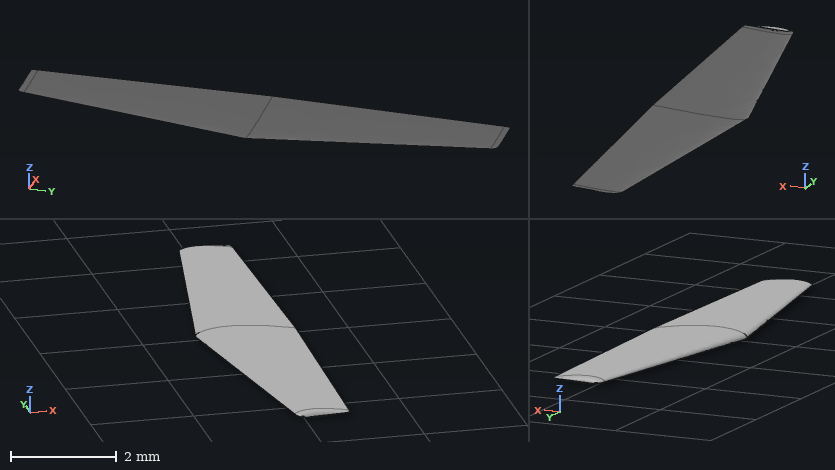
import cadquery as cq
import math

span = 9.44
root_chord = 1.95
tip_setback = 0.81
tip_trailing_inset = 0.09

cap_length = 0.13
cap_nose_trim = 0.13
cap_tail_trim = 0.04
cap_steps = 4
cap_edge_thickness = 0.15

max_camber = 0.02
camber_position = 0.4
thickness_ratio = 0.12
points_per_side = 14

half_span = span / 2
tip_y = half_span - cap_length
tip_chord = root_chord - tip_setback - tip_trailing_inset


def camber_and_slope(x):
    """Mean line height and slope at chord share x."""
    reach = camber_position if x < camber_position else 1 - camber_position
    curve = max_camber / reach**2
    height = max_camber - curve * (x - camber_position) ** 2
    return height, 2 * curve * (camber_position - x)


def surface_point(x, side):
    """Airfoil point at chord share x; side is +1 for upper, -1 for lower."""
    half_thickness = 5 * thickness_ratio * (
        0.2969 * math.sqrt(x) - 0.1260 * x - 0.3516 * x**2 + 0.2843 * x**3 - 0.1015 * x**4
    )
    height, slope = camber_and_slope(x)
    angle = math.atan(slope)
    return (
        x - side * half_thickness * math.sin(angle),
        height + side * half_thickness * math.cos(angle),
    )


def section(y, nose_x, chord, height_chord, thickness_share=1.0):
    """Closed airfoil wire; reduced thickness lowers the top toward the bottom."""
    upper = []
    lower = []
    for i in range(points_per_side + 1):
        x = (1 - math.cos(math.pi * i / points_per_side)) / 2
        top_x, top_z = surface_point(x, 1)
        bottom_x, bottom_z = surface_point(x, -1)
        top_z = bottom_z + (top_z - bottom_z) * thickness_share
        upper.append(cq.Vector(nose_x + chord * top_x, y, height_chord * top_z))
        lower.append(cq.Vector(nose_x + chord * bottom_x, y, height_chord * bottom_z))
    return cq.Wire.assembleEdges([
        cq.Edge.makeSpline(upper[::-1] + lower[1:]),
        cq.Edge.makeLine(lower[-1], upper[-1]),
    ])


def cap_section(step):
    """Tip cap section: a quarter ellipse in both plan outline and thickness."""
    angle = math.pi / 2 * step / cap_steps
    shrink = 1 - math.cos(angle)
    nose_trim = cap_nose_trim * shrink
    tail_trim = cap_tail_trim * shrink
    return section(
        tip_y + cap_length * math.sin(angle),
        tip_setback + nose_trim,
        tip_chord - nose_trim - tail_trim,
        tip_chord,
        1 - (1 - cap_edge_thickness) * shrink,
    )


root_section = section(0, 0, root_chord, root_chord)
cap_sections = [cap_section(step) for step in range(cap_steps + 1)]
panel = cq.Workplane(cq.Solid.makeLoft([root_section, cap_sections[0]], True))
cap = cq.Workplane(cq.Solid.makeLoft(cap_sections))
half_wing = panel.union(cap)

result = half_wing.union(half_wing.mirror("XZ"))